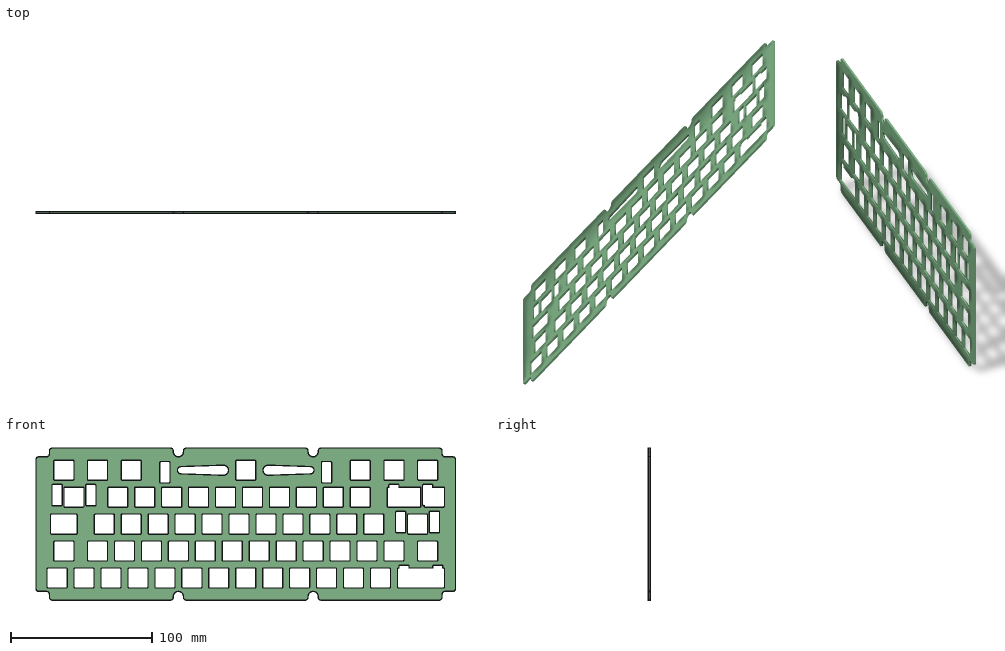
import cadquery as cq
import math


thickness = 1.5
plate_width = 296.7
plate_height = 107.7
corner_radius = 2.0

key_unit = 19.05
switch_side = 14.0
switch_corner_radius = 0.5

notch_columns = (-2.5, 2.5)
notch_width = 7.0
notch_mouth_radius = 2.2

step_z = 2.5 * key_unit
step_wall_x = 138.9
step_outer_radius = 2.3
step_inner_radius = 2.0

spacebar_column = 0
spacebar_row = 2

stabilizer_width = 7.0
stabilizer_height = 15.0
stabilizer_corner_radius = 0.5
stabilizer_offset = 1.5
short_stabilizer_reach = 23.88 / 2
spacebar_stabilizer_reach = 3 * key_unit

taper_slot_row = spacebar_row
taper_slot_inner_x = 12.3
taper_slot_outer_x = 48.2
taper_slot_inner_radius = 3.5
taper_slot_outer_radius = 2.5

switch_columns = {
    spacebar_row: [-6.75, -5.5, -4.25, spacebar_column, 4.25, 5.5, 6.75],
    1: [-6.375] + [-4.75 + i for i in range(10)] + [5.625, 6.125, 7],
    0: [-6.875, -6.625] + [-5.25 + i for i in range(11)] + [6.375],
    -1: [-6.75] + [-5.5 + i for i in range(12)] + [6.75],
    -2: [-7 + i for i in range(13)] + [6, 6.5, 7],
}

wide_keys = [(-6.375, 1), (6.125, 1), (6.375, 0), (6.5, -2)]


def block(center_x, center_z, width, height):
    """Box through the full sheet thickness."""
    return cq.Workplane("XY").box(width, thickness, height).translate((center_x, 0, center_z))


def rounded_block(center_x, center_z, width, height, radius):
    """Box through the sheet with its four corners rounded."""
    return block(center_x, center_z, width, height).edges("|Y").fillet(radius)


def fillet_corner(body, x, z, radius):
    """Round the one outline corner at (x, z)."""
    return body.edges(cq.NearestToPointSelector((x, 0, z))).fillet(radius)


def cut_notch(body, center_x, side):
    """Cut a notch into the top (side 1) or bottom (side -1) edge and round its mouth."""
    edge_z = side * plate_height / 2
    floor_radius = notch_width / 2
    floor_center_z = side * (step_z + floor_radius)
    wall_height = abs(edge_z - floor_center_z)
    walls = block(center_x, (edge_z + floor_center_z) / 2, notch_width, wall_height)
    floor = (
        cq.Workplane("XZ")
        .center(center_x, floor_center_z)
        .circle(floor_radius)
        .extrude(thickness / 2, both=True)
    )
    body = body.cut(walls.union(floor))
    for wall_x in (center_x - notch_width / 2, center_x + notch_width / 2):
        body = fillet_corner(body, wall_x, edge_z, notch_mouth_radius)
    return body


def make_blank():
    """Stepped sheet outline with its notches and rounded corners."""
    center_part = block(0, 0, 2 * step_wall_x, plate_height)
    blank = block(0, 0, plate_width, 2 * step_z).union(center_part)
    for side_x in (-1, 1):
        for side_z in (-1, 1):
            blank = fillet_corner(blank, side_x * step_wall_x, side_z * plate_height / 2, step_outer_radius)
            blank = fillet_corner(blank, side_x * step_wall_x, side_z * step_z, step_inner_radius)
            blank = fillet_corner(blank, side_x * plate_width / 2, side_z * step_z, corner_radius)
    for column in notch_columns:
        for side in (-1, 1):
            blank = cut_notch(blank, column * key_unit, side)
    return blank


def switch_opening(column, row):
    """Square opening for one switch, centred on its key."""
    return rounded_block(column * key_unit, row * key_unit, switch_side, switch_side, switch_corner_radius)


def stabilizer_pair(column, row, reach, offset):
    """Two slots at equal distances from the key centre, shifted by offset along Z."""
    center_z = row * key_unit + offset
    slots = [
        rounded_block(
            column * key_unit + side * reach,
            center_z,
            stabilizer_width,
            stabilizer_height,
            stabilizer_corner_radius,
        )
        for side in (-1, 1)
    ]
    return slots[0].union(slots[1])


def tapered_slot(side):
    """Slot with round ends, wider at the end near the plate centre, joined by tangent lines."""
    inner_x = taper_slot_inner_x + taper_slot_inner_radius
    outer_x = taper_slot_outer_x - taper_slot_outer_radius
    normal_x = (taper_slot_inner_radius - taper_slot_outer_radius) / (outer_x - inner_x)
    normal_z = math.sqrt(1 - normal_x**2)
    inner_tangent_x = inner_x + taper_slot_inner_radius * normal_x
    inner_tangent_z = taper_slot_inner_radius * normal_z
    outer_tangent_x = outer_x + taper_slot_outer_radius * normal_x
    outer_tangent_z = taper_slot_outer_radius * normal_z
    return (
        cq.Workplane("XZ")
        .moveTo(side * inner_tangent_x, inner_tangent_z)
        .lineTo(side * outer_tangent_x, outer_tangent_z)
        .threePointArc((side * taper_slot_outer_x, 0), (side * outer_tangent_x, -outer_tangent_z))
        .lineTo(side * inner_tangent_x, -inner_tangent_z)
        .threePointArc((side * taper_slot_inner_x, 0), (side * inner_tangent_x, inner_tangent_z))
        .close()
        .extrude(thickness / 2, both=True)
        .translate((0, 0, taper_slot_row * key_unit))
    )


plate = make_blank()
for row, columns in switch_columns.items():
    for column in columns:
        plate = plate.cut(switch_opening(column, row))
for column, row in wide_keys:
    plate = plate.cut(stabilizer_pair(column, row, short_stabilizer_reach, stabilizer_offset))
plate = plate.cut(
    stabilizer_pair(spacebar_column, spacebar_row, spacebar_stabilizer_reach, -stabilizer_offset)
)
for side in (-1, 1):
    plate = plate.cut(tapered_slot(side))

result = plate